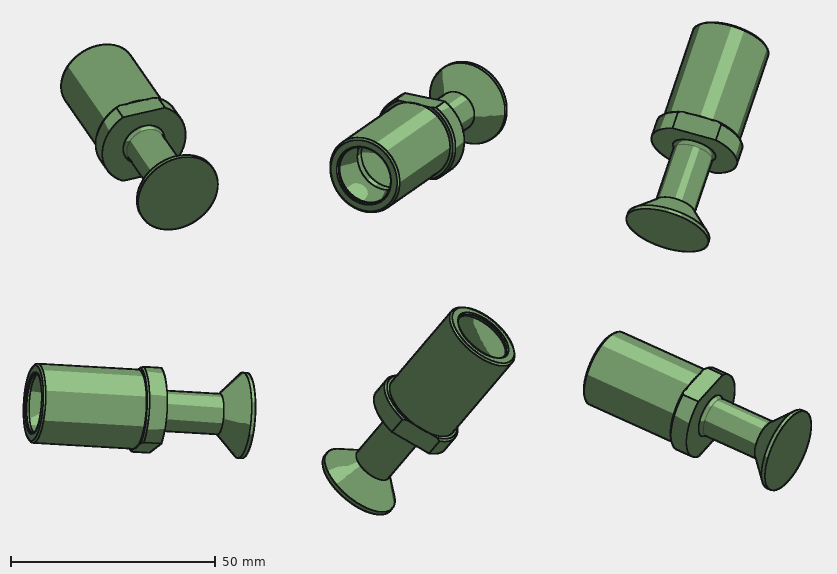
import cadquery as cq
import math

TOTAL_LENGTH = 53.5
COLLAR_START = 26.0
COLLAR_END = 31.0
HEAD_RIM_WIDTH = 1.0

SLEEVE_DIAMETER = 19.5
COLLAR_DIAMETER = 22.0
SHANK_DIAMETER = 10.0
HEAD_DIAMETER = 21.0
MOUTH_DIAMETER = 15.2
BORE_DIAMETER = 14.55

FLAT_SPACING = 19.0
EDGE_CHAMFER = 0.5
SHANK_FLARE_LENGTH = 1.0
SHANK_FLARE_HEIGHT = 0.5

THROAT_DIAMETER = 12.8
LAND_LENGTH = 0.6
WAIST_LENGTH = 9.0
RELIEF_LENGTH = 2.0
DRILL_POINT_ANGLE = 118.0


def revolve_about_x(profile):
    """Turn a closed XY profile around the X axis."""
    return profile.close().revolve(360, (0, 0, 0), (1, 0, 0))


def make_sleeve():
    blank = cq.Workplane("YZ").circle(SLEEVE_DIAMETER / 2).extrude(COLLAR_START)
    return blank.faces("<X").chamfer(EDGE_CHAMFER)


def make_collar():
    """Round collar with two wrench flats facing up and down."""
    width = COLLAR_END - COLLAR_START
    plane = cq.Workplane("YZ", origin=(COLLAR_START, 0, 0))
    collar = plane.circle(COLLAR_DIAMETER / 2).extrude(width).faces("<X").chamfer(EDGE_CHAMFER)
    flats = plane.rect(COLLAR_DIAMETER, FLAT_SPACING).extrude(width)
    return collar.intersect(flats)


def make_shank_and_head():
    """Shank with a concave flare at the collar and a 45 degree countersunk head."""
    shank_radius = SHANK_DIAMETER / 2
    head_radius = HEAD_DIAMETER / 2
    rim_start = TOTAL_LENGTH - HEAD_RIM_WIDTH
    cone_start = rim_start - (head_radius - shank_radius)
    flare_end = COLLAR_END + SHANK_FLARE_LENGTH
    profile = (
        cq.Workplane("XY")
        .moveTo(COLLAR_END, 0)
        .lineTo(TOTAL_LENGTH, 0)
        .lineTo(TOTAL_LENGTH, head_radius)
        .lineTo(rim_start, head_radius)
        .lineTo(cone_start, shank_radius)
        .lineTo(flare_end, shank_radius)
        .tangentArcPoint((COLLAR_END, shank_radius + SHANK_FLARE_HEIGHT), relative=False)
    )
    return revolve_about_x(profile)


def make_bore():
    """Blind bore whose wall bulges inward as an arc between two equal rings."""
    mouth_radius = MOUTH_DIAMETER / 2
    bore_radius = BORE_DIAMETER / 2
    throat_radius = THROAT_DIAMETER / 2
    land_start = mouth_radius - bore_radius
    waist_start = land_start + LAND_LENGTH
    waist_end = waist_start + WAIST_LENGTH
    throat_x = (waist_start + waist_end) / 2
    relief_end = waist_end + RELIEF_LENGTH
    tip_x = relief_end + bore_radius / math.tan(math.radians(DRILL_POINT_ANGLE / 2))
    profile = (
        cq.Workplane("XY")
        .lineTo(0, mouth_radius)
        .lineTo(land_start, bore_radius)
        .lineTo(waist_start, bore_radius)
        .threePointArc((throat_x, throat_radius), (waist_end, bore_radius))
        .lineTo(relief_end, bore_radius)
        .lineTo(tip_x, 0)
    )
    return revolve_about_x(profile)


solid_body = make_sleeve().union(make_collar()).union(make_shank_and_head())
result = solid_body.cut(make_bore())